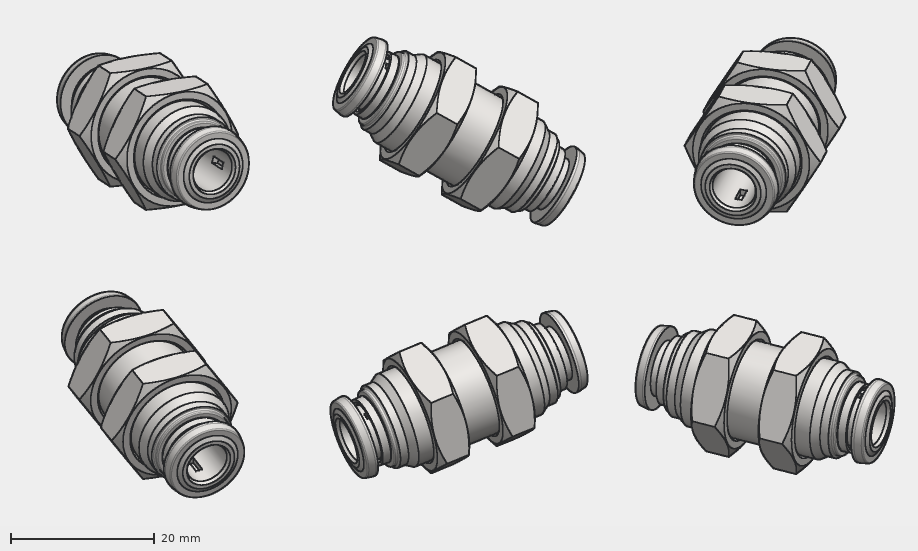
import cadquery as cq
import math

length = 35.2
half_length = length / 2

body_radius = 7.0
body_start_x = 7.78
shoulder_radius = 6.23
shoulder_end_x = 6.6
shoulder_start_x = 5.3

rim_radius = 5.77
rim_start_x = 4.58
rim_fillet = 0.18
rim_blend_radius = 0.2

collar_front_radius = 4.95
collar_back_radius = 5.05
collar_start_x = 3.2
collar_end_x = 4.47

groove_radius = 4.9

gap_radius = 4.5
gap_depth = 0.7

sleeve_radius = 4.0
nose_root_radius = 4.7
flange_radius = 6.02
flange_front_radius = 5.8
flange_face_x = 0.35
flange_edge_fillet = 0.18
flange_taper_end_x = 1.55
flange_end_x = 1.95

bore_radius = 3.1
bore_mouth_radius = 3.38
bore_mouth_depth = 0.53
bore_depth = 14.08

slot_width = 1.0
slot_start_x = 3.03
slot_length = 2.8
slot_tilt_left = 0.0
slot_tilt_right = 76.0

nut_across_flats = 17.0
nut_across_corners = nut_across_flats / math.cos(math.radians(30))
nut_width = 5.05
nut_start_x = 9.95
nut_face_radius = 8.4
nut_chamfer_angle = 30.0
nut_countersink_radius = 7.32
nut_countersink_depth = nut_countersink_radius - body_radius


def revolve_about_x(profile):
    """Turn a closed (x, radius) profile around the X axis."""
    return profile.close().revolve(360, (0, 0, 0), (1, 0, 0))


def half_fitting(slot_tilt):
    """Build the -X half of the fitting, with its sleeve slots tilted about X from the Z axis."""
    blend_start_x = shoulder_start_x - rim_blend_radius
    outer = (
        cq.Workplane("XY")
        .moveTo(0, 0)
        .lineTo(0, sleeve_radius)
        .lineTo(flange_face_x, nose_root_radius)
        .lineTo(flange_face_x, flange_front_radius - flange_edge_fillet)
        .radiusArc((flange_face_x + flange_edge_fillet, flange_front_radius), flange_edge_fillet)
        .lineTo(flange_taper_end_x, flange_radius)
        .lineTo(flange_end_x, flange_radius)
        .lineTo(flange_end_x, sleeve_radius)
        .lineTo(collar_start_x + gap_depth, sleeve_radius)
        .lineTo(collar_start_x + gap_depth, gap_radius)
        .lineTo(collar_start_x, gap_radius)
        .lineTo(collar_start_x, collar_front_radius)
        .lineTo(collar_end_x, collar_back_radius)
        .lineTo(collar_end_x, groove_radius)
        .lineTo(rim_start_x, groove_radius)
        .lineTo(rim_start_x, rim_radius - rim_fillet)
        .radiusArc((rim_start_x + rim_fillet, rim_radius), rim_fillet)
        .lineTo(blend_start_x, rim_radius)
        .radiusArc((shoulder_start_x, rim_radius + rim_blend_radius), -rim_blend_radius)
        .lineTo(shoulder_start_x, shoulder_radius)
        .lineTo(shoulder_end_x, shoulder_radius)
        .lineTo(body_start_x, body_radius)
        .lineTo(half_length, body_radius)
        .lineTo(half_length, 0)
    )
    bore = (
        cq.Workplane("XY")
        .lineTo(0, bore_mouth_radius)
        .lineTo(bore_mouth_depth, bore_radius)
        .lineTo(bore_depth, bore_radius)
        .lineTo(bore_depth, 0)
    )
    slots = (
        cq.Workplane("XY")
        .box(slot_length, slot_width, 2 * sleeve_radius, centered=(False, True, True))
        .translate((slot_start_x, 0, 0))
        .intersect(cq.Workplane("YZ").circle(sleeve_radius).extrude(half_length))
        .rotate((0, 0, 0), (1, 0, 0), slot_tilt)
    )
    half = revolve_about_x(outer).cut(revolve_about_x(bore)).cut(slots)
    return half.translate((-half_length, 0, 0))


def lock_nut():
    """Build the nut on the -X side: chamfered corners and countersunk thread ends."""
    corner_radius = nut_across_corners / 2
    chamfer_depth = (corner_radius - nut_face_radius) * math.tan(math.radians(nut_chamfer_angle))
    hexagon = cq.Workplane("YZ").polygon(6, nut_across_corners).extrude(nut_width)
    envelope = (
        cq.Workplane("XY")
        .lineTo(0, nut_face_radius)
        .lineTo(chamfer_depth, corner_radius)
        .lineTo(nut_width - chamfer_depth, corner_radius)
        .lineTo(nut_width, nut_face_radius)
        .lineTo(nut_width, 0)
    )
    thread_hole = (
        cq.Workplane("XY")
        .lineTo(0, nut_countersink_radius)
        .lineTo(nut_countersink_depth, body_radius)
        .lineTo(nut_width - nut_countersink_depth, body_radius)
        .lineTo(nut_width, nut_countersink_radius)
        .lineTo(nut_width, 0)
    )
    nut = hexagon.intersect(revolve_about_x(envelope)).cut(revolve_about_x(thread_hole))
    return nut.translate((nut_start_x - half_length, 0, 0))


left_half = half_fitting(slot_tilt_left)
right_half = half_fitting(slot_tilt_right).mirror("YZ")
left_nut = lock_nut()
right_nut = left_nut.mirror("YZ")

result = left_half.union(right_half).union(left_nut).union(right_nut)